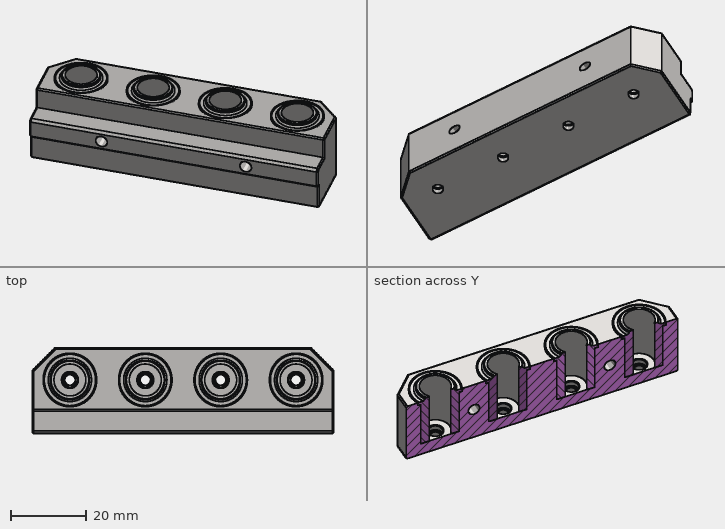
import cadquery as cq
import math

length = 80.0
depth = 22.7
overall_height = 20.0

collar_height = 1.0
block_height = overall_height - collar_height
flange_overhang = 1.0
flange_height = 6.0
flange_centre_z = 10.0
step_depth = 16.7
edge_chamfer = 0.4
flange_chamfer = 0.7

corner_cut = 6.0

cross_hole_diameter = 3.2
cross_hole_spacing = length / 2

bush_count = 4
bush_spacing = length / bush_count
bush_from_back = 8.5
head_diameter = 14.2
head_depth = 1.0
rim_chamfer = 0.3
body_diameter = 12.5
collar_base_diameter = 11.5
collar_diameter = 10.5
collar_chamfer = 0.2
bore_diameter = 8.5

seat_floor_z = 4.0
recess_diameter = 4.1
recess_depth = 1.6
outlet_diameter = 2.8
outlet_chamfer = 0.2

back_y = depth / 2
front_y = -depth / 2
lower_front_y = front_y + flange_overhang
step_y = back_y - step_depth
flange_top = flange_centre_z + flange_height / 2
flange_bottom = flange_centre_z - flange_height / 2
bush_y = back_y - bush_from_back
bush_places = [((i - (bush_count - 1) / 2) * bush_spacing, bush_y) for i in range(bush_count)]


def make_bar():
    """Stepped bar along X with chamfered long edges and bevelled ends."""
    c = edge_chamfer
    f = flange_chamfer
    outline = [
        (back_y - c, 0),
        (back_y, c),
        (back_y, block_height - c),
        (back_y - c, block_height),
        (step_y + c, block_height),
        (step_y, block_height - c),
        (step_y, flange_top),
        (front_y + f, flange_top),
        (front_y, flange_top - f),
        (front_y, flange_bottom + f),
        (front_y + f, flange_bottom),
        (lower_front_y, flange_bottom),
        (lower_front_y, c),
        (lower_front_y + c, 0),
    ]
    straight_length = length - 2 * edge_chamfer
    section = cq.Workplane("YZ").polyline(outline).close()
    outer = section.val()
    bar = section.extrude(straight_length / 2, both=True)
    inner = outer.offset2D(-edge_chamfer, "intersection")[0]
    bevel_start = outer.translate((straight_length / 2, 0, 0))
    bevel_finish = inner.translate((length / 2, 0, 0))
    bevelled_end = cq.Workplane(cq.Solid.makeLoft([bevel_start, bevel_finish], True))
    return bar.union(bevelled_end).union(bevelled_end.mirror("YZ"))


def cut_back_corners(block):
    """Cut both back corners at 45 degrees, with bevels along the top and bottom of each cut."""
    cut_angle = 45
    cut_depth = corner_cut * math.sin(math.radians(cut_angle))
    section = [
        (-edge_chamfer, 0),
        (0, edge_chamfer),
        (0, block_height - edge_chamfer),
        (-edge_chamfer, block_height),
        (cut_depth, block_height),
        (cut_depth, 0),
    ]
    wedge = cq.Workplane("XZ").polyline(section).close().extrude(corner_cut, both=True)
    middle_x = (length - corner_cut) / 2
    middle_y = back_y - corner_cut / 2
    right = wedge.rotate((0, 0, 0), (0, 0, 1), cut_angle).translate((middle_x, middle_y, 0))
    return block.cut(right).cut(right.mirror("YZ"))


def cut_cross_holes(block):
    places = [(side * cross_hole_spacing / 2, flange_centre_z) for side in (-1, 1)]
    holes = cq.Workplane("XZ").pushPoints(places).circle(cross_hole_diameter / 2).extrude(depth, both=True)
    return block.cut(holes)


def revolve_about_z(profile):
    """Turn a closed outline of (radius, height) points about the Z axis."""
    return cq.Workplane("XZ").polyline(profile).close().revolve(360, (0, 0), (0, 1))


def cut_bush_seats(block):
    """Stepped seats for the bushes, each draining through a recess and a hole in the base."""
    body_radius = body_diameter / 2
    head_radius = head_diameter / 2
    recess_radius = recess_diameter / 2
    outlet_radius = outlet_diameter / 2
    recess_floor_z = seat_floor_z - recess_depth
    head_bottom = block_height - head_depth
    profile = [
        (0, 0),
        (outlet_radius, 0),
        (outlet_radius, recess_floor_z - outlet_chamfer),
        (outlet_radius + outlet_chamfer, recess_floor_z),
        (recess_radius, recess_floor_z),
        (recess_radius, seat_floor_z - outlet_chamfer),
        (recess_radius + outlet_chamfer, seat_floor_z),
        (body_radius, seat_floor_z),
        (body_radius, head_bottom),
        (head_radius, head_bottom),
        (head_radius, block_height),
        (0, block_height),
    ]
    seat = revolve_about_z(profile)
    for x, y in bush_places:
        block = block.cut(seat.translate((x, y, 0)))
    return block


def make_bush():
    """Headed tube with a chamfered rim and a raised collar on a sloping foot."""
    bore_radius = bore_diameter / 2
    body_radius = body_diameter / 2
    head_radius = head_diameter / 2
    foot_radius = collar_base_diameter / 2
    collar_radius = collar_diameter / 2
    head_bottom = block_height - head_depth
    foot_height = foot_radius - collar_radius
    profile = [
        (bore_radius, seat_floor_z),
        (body_radius, seat_floor_z),
        (body_radius, head_bottom),
        (head_radius, head_bottom),
        (head_radius, block_height - rim_chamfer),
        (head_radius - rim_chamfer, block_height),
        (foot_radius, block_height),
        (collar_radius, block_height + foot_height),
        (collar_radius, overall_height - collar_chamfer),
        (collar_radius - collar_chamfer, overall_height),
        (bore_radius, overall_height),
    ]
    return revolve_about_z(profile)


block = cut_bush_seats(cut_cross_holes(cut_back_corners(make_bar())))
bush = make_bush()
bushes = [bush.translate((x, y, 0)) for x, y in bush_places]
result = cq.Compound.makeCompound([block.val(), *[placed.val() for placed in bushes]])